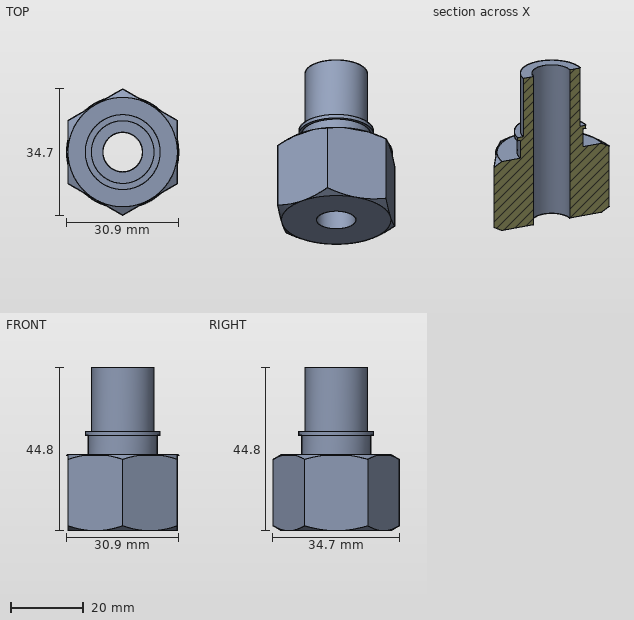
import cadquery as cq
import math

hexagon_sides = 6
across_corners = 34.65
half_side_angle = 180 / hexagon_sides
across_flats = across_corners * math.cos(math.radians(half_side_angle))
nut_height = 20.9
chamfer_angle = 30
lip_diameter = 30.85

total_height = 44.75
neck_diameter = 19.0
collar_diameter = 20.55
collar_bottom = 26.15
collar_top = 27.2
tube_diameter = 17.2
bore_diameter = 10.8


def chamfer_drop(radius):
    """Height lost on the chamfer cone between the flats circle and a larger radius."""
    return (radius - across_flats / 2) * math.tan(math.radians(chamfer_angle))


def cylinder(diameter, bottom, top):
    return cq.Workplane("XY").workplane(offset=bottom).circle(diameter / 2).extrude(top - bottom)


def make_nut():
    """Hexagon with its corners cut by a cone at both ends."""
    hexagon = (
        cq.Workplane("XY")
        .polygon(hexagon_sides, across_corners)
        .extrude(nut_height)
        .rotate((0, 0, 0), (0, 0, 1), half_side_angle)
    )
    flat_radius = across_flats / 2
    corner_radius = across_corners / 2
    drop = chamfer_drop(corner_radius)
    envelope = (
        cq.Workplane("XZ")
        .moveTo(0, 0)
        .lineTo(flat_radius, 0)
        .lineTo(corner_radius, drop)
        .lineTo(corner_radius, nut_height - drop)
        .lineTo(flat_radius, nut_height)
        .lineTo(0, nut_height)
        .close()
        .revolve(360, (0, 0, 0), (0, 1, 0))
    )
    return hexagon.intersect(envelope)


def make_lip():
    """Thin conical rim that continues the top chamfer just past the flats."""
    lip_radius = lip_diameter / 2
    lip_bottom = nut_height - chamfer_drop(lip_radius)
    return (
        cq.Workplane("XZ")
        .moveTo(0, lip_bottom)
        .lineTo(lip_radius, lip_bottom)
        .lineTo(across_flats / 2, nut_height)
        .lineTo(0, nut_height)
        .close()
        .revolve(360, (0, 0, 0), (0, 1, 0))
    )


neck = cylinder(neck_diameter, 0, collar_bottom)
collar = cylinder(collar_diameter, collar_bottom, collar_top)
tube = cylinder(tube_diameter, 0, total_height)
bore = cylinder(bore_diameter, 0, total_height)

result = make_nut().union(make_lip()).union(neck).union(collar).union(tube).cut(bore)